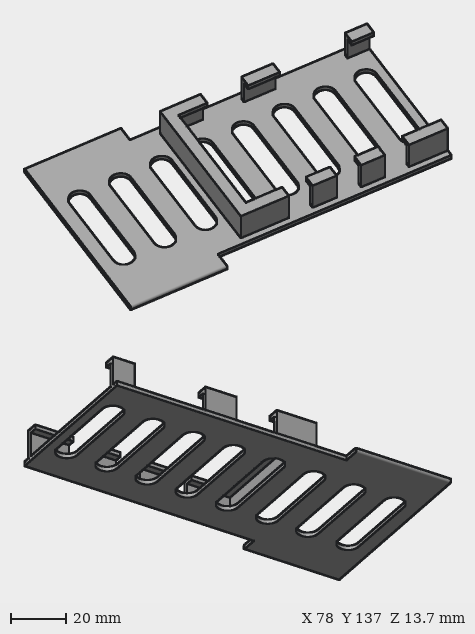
import cadquery as cq

length = 137.0
foot_width = 78.0
foot_length = 40.0
deck_width = 64.0
plate_thickness = 1.9
edge_radius = 0.8

slot_count = 8
slot_length = 40.1
slot_width = 8.5
slot_pitch = 17.0
first_slot_y = 10.0

total_height = 13.7
clip_span = 58.8
wall_thickness = 1.9
lip_reach = 5.0
lip_thickness = 1.9

left_clips = [(127.8, length), (84.8, 98.0)]
right_clips = [(120.8, length), (101.0, 110.8), (80.8, 90.8)]

stop_front_y = 51.0
left_arm_end_y = 67.8
right_arm_end_y = 71.0


def block(x_range, y_range, z_range):
    """Axis-aligned box given by its limits along each axis."""
    (x0, x1), (y0, y1), (z0, z1) = x_range, y_range, z_range
    return cq.Workplane("XY").box(x1 - x0, y1 - y0, z1 - z0, centered=False).translate((x0, y0, z0))


def make_plate():
    foot = (
        cq.Workplane("XY")
        .box(foot_width, foot_length, plate_thickness, centered=(True, False, False))
        .edges("|Y")
        .fillet(edge_radius)
    )
    deck = cq.Workplane("XY").box(deck_width, length, plate_thickness, centered=(True, False, False))
    slots = (
        cq.Workplane("XY")
        .pushPoints([(0, first_slot_y + i * slot_pitch) for i in range(slot_count)])
        .slot2D(slot_length, slot_width)
        .extrude(plate_thickness)
    )
    return foot.union(deck).cut(slots)


def make_clip(side, y_range):
    """Hooked wall on the left (side = -1) or right (side = 1), with its lip towards the middle."""
    outer = side * clip_span / 2
    wall_x = sorted((outer, outer - side * wall_thickness))
    lip_x = sorted((outer, outer - side * lip_reach))
    wall = block(wall_x, y_range, (plate_thickness, total_height))
    lip = block(lip_x, y_range, (total_height - lip_thickness, total_height))
    return wall.union(lip)


def make_end_stop():
    """Two clip-shaped arms joined across the front by a wall with the same lip."""
    half_span = clip_span / 2
    across = (-half_span, half_span)
    wall_y = (stop_front_y, stop_front_y + wall_thickness)
    lip_y = (stop_front_y, stop_front_y + lip_reach)
    cross_wall = block(across, wall_y, (plate_thickness, total_height))
    cross_lip = block(across, lip_y, (total_height - lip_thickness, total_height))
    left_arm = make_clip(-1, (stop_front_y, left_arm_end_y))
    right_arm = make_clip(1, (stop_front_y, right_arm_end_y))
    return cross_wall.union(cross_lip).union(left_arm).union(right_arm)


holder = make_plate().union(make_end_stop())
for y_range in left_clips:
    holder = holder.union(make_clip(-1, y_range))
for y_range in right_clips:
    holder = holder.union(make_clip(1, y_range))

result = cq.Compound.makeCompound([holder.val()])